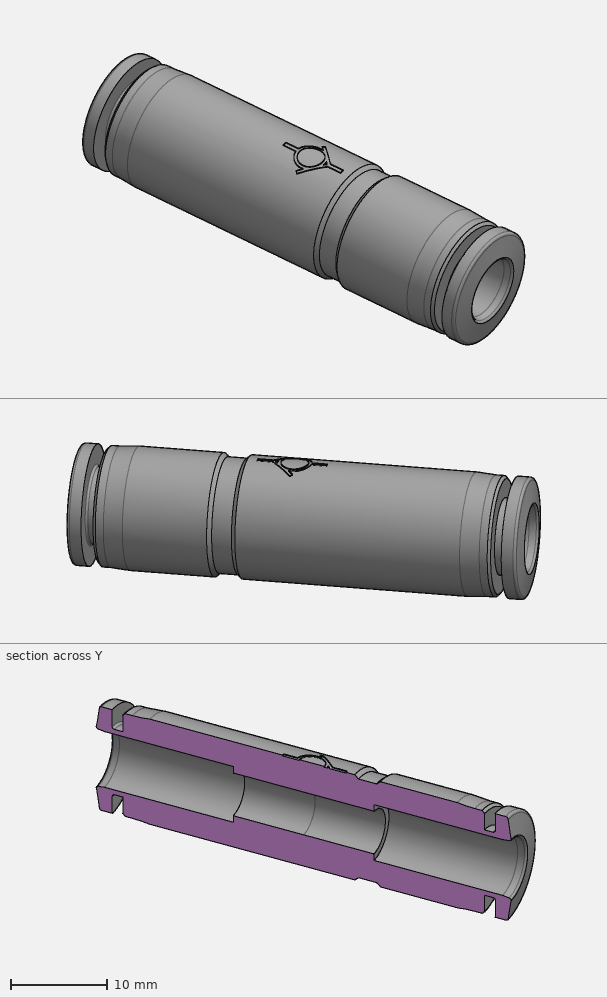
import cadquery as cq
import math

total_length = 48.4
half_length = total_length / 2

body_radius = 6.5
body_half_length = 21.1
shoulder_radius = 6.35
body_chamfer = 0.3
shoulder_length = 1.15
taper_length = 2.05

groove_start = 5.95
groove_end = 8.95
groove_depth = 0.4
groove_flank_length = 0.45

flange_radius = 6.4
flange_thickness = 1.55
flange_round = 0.3
end_cone_height = 0.35
stem_radius = 4.05
stem_fillet = 0.25

tube_radius = 3.4
lead_in_radius = 3.5
mouth_round = 0.25
tube_mouth_radius = lead_in_radius + mouth_round
lead_in_length = 0.75
tube_depth = 16.0
flow_radius = 2.6

mark_x = 0.95
mark_depth = 0.1
ring_inner_radius = 1.45
ring_outer_radius = 1.8
seat_width = 0.35
seat_reach = 2.55
line_width = 0.5
line_left_end = -2.45
line_right_end = 4.9


def spin(outline):
    """Revolve a closed outline, drawn as x and radius, around the X axis."""
    return outline.revolve(360, (0, 0, 0), (1, 0, 0))


def spin_points(points):
    """Revolve a straight-sided outline of (x, radius) points around the X axis."""
    return spin(cq.Workplane("XY").polyline(points).close())


def make_body():
    """Cylindrical body, tapering at each end to a slightly smaller chamfered shoulder."""
    shoulder_end = body_half_length - shoulder_length
    taper_start = shoulder_end - taper_length
    half_outline = [
        (taper_start, body_radius),
        (shoulder_end, shoulder_radius),
        (body_half_length - body_chamfer, shoulder_radius),
        (body_half_length, shoulder_radius - body_chamfer),
        (body_half_length, 0),
    ]
    mirrored = [(-x, r) for x, r in reversed(half_outline)]
    return spin_points(mirrored + half_outline)


def make_groove():
    """Ring-shaped cutter for the groove, with sloping flanks."""
    floor_radius = body_radius - groove_depth
    outside_radius = body_radius + groove_depth
    return spin_points([
        (groove_start, outside_radius),
        (groove_start, body_radius),
        (groove_start + groove_flank_length, floor_radius),
        (groove_end - groove_flank_length, floor_radius),
        (groove_end, body_radius),
        (groove_end, outside_radius),
    ])


def make_button():
    """Release button at the +X end, with its stem running into the body."""
    flange_face = half_length - end_cone_height
    flange_back = flange_face - flange_thickness
    outline = (
        cq.Workplane("XY")
        .lineTo(0, stem_radius)
        .lineTo(flange_back - stem_fillet, stem_radius)
        .tangentArcPoint((stem_fillet, stem_fillet))
        .lineTo(flange_back, flange_radius)
        .lineTo(flange_face - flange_round, flange_radius)
        .tangentArcPoint((flange_round, -flange_round))
        .lineTo(half_length, tube_mouth_radius)
        .lineTo(half_length, 0)
        .close()
    )
    return spin(outline)


def make_bore():
    """Flow passage and tube socket on the +X side, with a tapered and rounded mouth."""
    socket_floor = half_length - tube_depth
    lead_in_start = half_length - mouth_round
    outline = (
        cq.Workplane("XY")
        .lineTo(0, flow_radius)
        .lineTo(socket_floor, flow_radius)
        .lineTo(socket_floor, tube_radius)
        .lineTo(lead_in_start - lead_in_length, tube_radius)
        .lineTo(lead_in_start, lead_in_radius)
        .tangentArcPoint((half_length, tube_mouth_radius), relative=False)
        .lineTo(half_length, 0)
        .close()
    )
    return spin(outline)


def both_ends(shape):
    """Join a +X end shape with its mirror image at the -X end."""
    return shape.union(shape.mirror("YZ"))


def mark_bar(start, end, width):
    """Upright bar in plan between two points, tall enough to pass the body surface."""
    dx = end[0] - start[0]
    dy = end[1] - start[1]
    middle = ((start[0] + end[0]) / 2, (start[1] + end[1]) / 2)
    bar = cq.Workplane("XY").rect(math.hypot(dx, dy), width).extrude(body_radius)
    return bar.rotate((0, 0, 0), (0, 0, 1), math.degrees(math.atan2(dy, dx))).translate((*middle, 0))


def make_mark():
    """Cutter for the valve symbol: a ring in a V-shaped seat on a line along X."""
    plan = cq.Workplane("XY").center(mark_x, 0).circle(ring_outer_radius).extrude(body_radius)
    ring_opening = cq.Workplane("XY").center(mark_x, 0).circle(ring_inner_radius).extrude(body_radius)

    apex = mark_x + (ring_outer_radius - seat_width / 2) * math.sqrt(2)
    arm_reach = seat_reach - seat_width / 2 / math.sqrt(2)
    for side in (1, -1):
        plan = plan.union(mark_bar((apex, 0), (apex - arm_reach, side * arm_reach), seat_width))
    plan = plan.union(mark_bar((line_left_end, 0), (mark_x, 0), line_width))
    plan = plan.union(mark_bar((apex, 0), (line_right_end, 0), line_width))
    plan = plan.cut(ring_opening)

    core = cq.Workplane("YZ").circle(body_radius - mark_depth).extrude(half_length, both=True)
    return plan.cut(core)


result = (
    make_body()
    .cut(make_groove())
    .union(both_ends(make_button()))
    .cut(both_ends(make_bore()))
    .cut(make_mark())
)